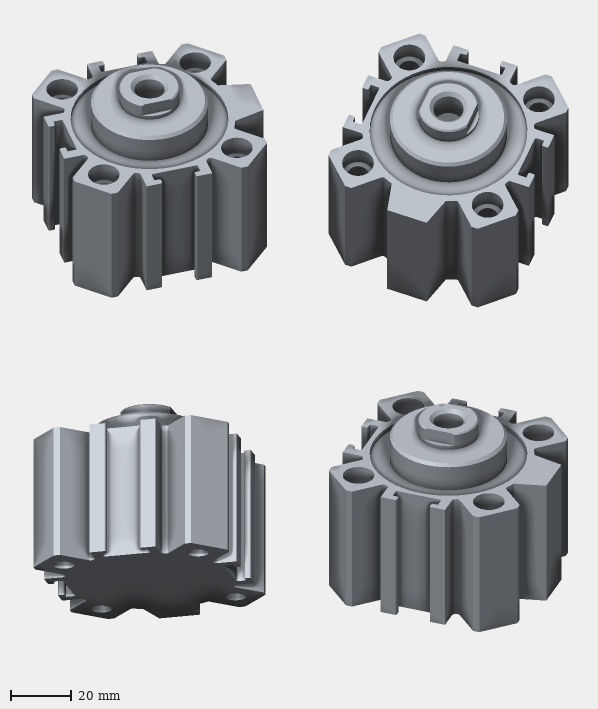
import cadquery as cq
import math

housing_height = 45.0
boss_top = 53.0
rod_top = 59.0

core_radius = 28.55
lug_reach = 33.5
lug_diagonal_reach = 40.5
lug_width = 17.0
rail_reach = 33.3
rail_span = 22.85
slot_width = 16.1
slot_mouth_width = 11.8
slot_floor = 27.8
lip_thickness = 2.3
wedge_reach = 37.5
wedge_tip_width = 14.1
wedge_foot_width = 19.3
notch_radius = 1.1
slot_radius = 0.5

lug_hole_spacing = 46.35
lug_hole_diameter = 7.0
lug_counterbore_diameter = 10.5
lug_counterbore_depth = 6.75

recess_diameter = 52.5
recess_depth = 2.0
boss_diameter = 39.0
boss_chamfer = 1.0

rod_diameter = 20.0
rod_chamfer = 0.5
rod_flats_width = 17.0
rod_flats_height = 4.55
rod_hole_diameter = 10.1
rod_hole_mouth_diameter = 12.6
rod_hole_depth = 10.65

recess_floor = housing_height - recess_depth
rod_bottom = recess_floor

lip_inner = rail_reach - lip_thickness
slotted_side_angles = (90, 180, 270)


def block(x_min, x_max, y_min, y_max):
    """Box of full housing height."""
    size = (x_max - x_min, y_max - y_min, housing_height)
    return cq.Workplane().box(*size, centered=False).translate((x_min, y_min, 0))


def turned(body, angle):
    """Body turned about the Z axis."""
    return body.rotate((0, 0, 0), (0, 0, 1), angle)


def fillet_uprights(body, points, radius):
    """Round the vertical edges that stand on the given points."""
    edges = []
    for x, y in points:
        nearest = cq.selectors.NearestToPointSelector((x, y, housing_height / 2))
        edges += body.edges("|Z").edges(nearest).vals()
    return body.newObject(edges).fillet(radius)


def point_at(radius, angle):
    """Point at a distance from the axis, at an angle in degrees from +X."""
    return radius * math.cos(math.radians(angle)), radius * math.sin(math.radians(angle))


def add_lugs(body):
    """Add the four diagonal lugs, their outer corners cut flat along X and Y."""
    bar = block(-lug_diagonal_reach, lug_diagonal_reach, -lug_width / 2, lug_width / 2)
    limits = block(-lug_reach, lug_reach, -lug_reach, lug_reach)
    for angle in (45, 135):
        body = body.union(turned(bar, angle).intersect(limits))
    return body


def add_rail_blocks(body):
    """Add the solid blocks that the side slots are cut into."""
    for angle in slotted_side_angles:
        body = body.union(turned(block(-rail_span / 2, rail_span / 2, 0, rail_reach), angle))
    return body


def add_wedge(body):
    """Add the solid tapered wedge on the +Y side."""
    tip = wedge_tip_width / 2
    foot = wedge_foot_width / 2
    foot_y = math.sqrt(core_radius**2 - foot**2)
    outline = [(0, 0), (foot, foot_y), (tip, wedge_reach), (-tip, wedge_reach), (-foot, foot_y)]
    return body.union(cq.Workplane().polyline(outline).close().extrude(housing_height))


def round_notches(body):
    """Round the inner corners where the lugs and rails leave the core."""
    lug_half_angle = math.degrees(math.asin(lug_width / 2 / core_radius))
    rail_half_angle = math.degrees(math.asin(rail_span / 2 / core_radius))
    corners = []
    for lug_angle in (45, 135, 225, 315):
        for turn in (-lug_half_angle, lug_half_angle):
            corners.append(point_at(core_radius, lug_angle + turn))
    for side_angle in slotted_side_angles:
        for turn in (-rail_half_angle, rail_half_angle):
            corners.append(point_at(core_radius, 90 + side_angle + turn))
    return fillet_uprights(body, corners, notch_radius)


def slot_cutter():
    """Space of the slot that opens to +Y, with round floor corners and round lip edges."""
    half_slot = slot_width / 2
    half_mouth = slot_mouth_width / 2
    space = block(-half_slot, half_slot, slot_floor, lip_inner)
    space = space.union(block(-half_mouth, half_mouth, slot_floor, rail_reach))
    floor_corners = [(-half_slot, slot_floor), (half_slot, slot_floor)]
    lip_corners = [(-half_mouth, lip_inner), (half_mouth, lip_inner)]
    return fillet_uprights(space, floor_corners + lip_corners, slot_radius)


def cut_slots(body):
    """Cut the side slots and round the outer edges of their lips."""
    half_mouth = slot_mouth_width / 2
    lip_corners = [(-half_mouth, rail_reach), (half_mouth, rail_reach)]
    for angle in slotted_side_angles:
        slotted = turned(body, -angle).cut(slot_cutter())
        slotted = fillet_uprights(slotted, lip_corners, slot_radius)
        body = turned(slotted, angle)
    return body


def housing_profile():
    """Extruded outline of the housing."""
    body = cq.Workplane().circle(core_radius).extrude(housing_height)
    body = add_lugs(body)
    body = add_rail_blocks(body)
    body = add_wedge(body)
    body = round_notches(body)
    return cut_slots(body)


def make_housing():
    """Housing with counterbored lug holes, a recessed top and a boss that guides the rod."""
    body = (
        housing_profile()
        .faces(">Z")
        .workplane(origin=(0, 0, housing_height))
        .rect(lug_hole_spacing, lug_hole_spacing, forConstruction=True)
        .vertices()
        .cboreHole(lug_hole_diameter, lug_counterbore_diameter, lug_counterbore_depth)
    )
    recess = cq.Workplane(origin=(0, 0, recess_floor)).circle(recess_diameter / 2).extrude(recess_depth)
    boss = (
        cq.Workplane(origin=(0, 0, recess_floor))
        .circle(boss_diameter / 2)
        .extrude(boss_top - recess_floor)
        .faces(">Z").chamfer(boss_chamfer)
    )
    rod_seat = (
        cq.Workplane(origin=(0, 0, rod_bottom))
        .circle(rod_diameter / 2)
        .extrude(boss_top - rod_bottom)
    )
    return body.cut(recess).union(boss).cut(rod_seat)


def make_rod():
    """Piston rod with two wrench flats and a countersunk blind hole in its end."""
    rod_radius = rod_diameter / 2
    hole_radius = rod_hole_diameter / 2
    mouth_radius = rod_hole_mouth_diameter / 2
    hole_bottom = rod_top - rod_hole_depth
    countersink_bottom = rod_top - (mouth_radius - hole_radius)
    half_section = [
        (0, rod_bottom),
        (rod_radius, rod_bottom),
        (rod_radius, rod_top - rod_chamfer),
        (rod_radius - rod_chamfer, rod_top),
        (mouth_radius, rod_top),
        (hole_radius, countersink_bottom),
        (hole_radius, hole_bottom),
        (0, hole_bottom),
    ]
    rod = cq.Workplane("XZ").polyline(half_section).close().revolve(360, (0, 0), (0, 1))

    flats_bottom = cq.Workplane(origin=(0, 0, rod_top - rod_flats_height))
    between_flats = flats_bottom.rect(rod_flats_width, rod_diameter).extrude(rod_flats_height)
    outside_flats = flats_bottom.circle(rod_radius).extrude(rod_flats_height).cut(between_flats)
    return rod.cut(outside_flats)


housing = make_housing()
rod = make_rod()
result = cq.Compound.makeCompound([housing.solids().val(), rod.solids().val()])